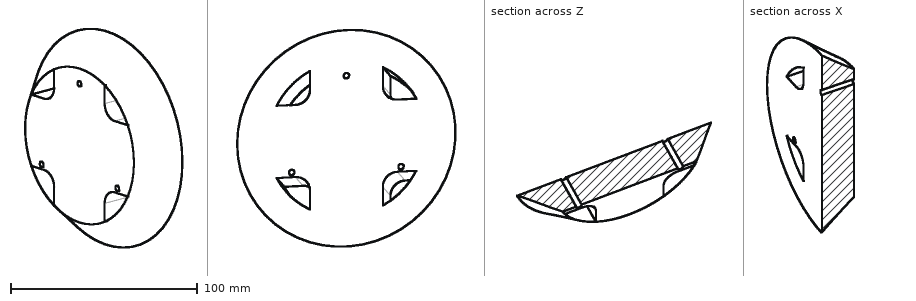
import cadquery as cq
import math

RIM_RADIUS = 60.0
THICKNESS = 20.0
FLANK_ANGLE = 40.0
CROSS_WIDTH = 40.0
WINDOW_FILLET = 8.0
HOLE_DIAMETER = 3.0
HOLE_SPACING = 60.0
HOLE_COUNT = 3
FIRST_HOLE_ANGLE = 90.0

FACE_RADIUS = RIM_RADIUS - THICKNESS * math.tan(math.radians(FLANK_ANGLE))
HOLE_CIRCLE_RADIUS = HOLE_SPACING / math.sqrt(3)


def make_body():
    """Solid truncated cone with its axis on Y, narrowing toward -Y."""
    profile = [(0, 0), (RIM_RADIUS, 0), (FACE_RADIUS, -THICKNESS), (0, -THICKNESS)]
    return cq.Workplane("XY").polyline(profile).close().revolve(360, (0, 0), (0, 1))


def make_window_cutter(x_side, z_side):
    """Straight window in one quadrant, bounded by two arm sides and the small circle."""
    size = FACE_RADIUS
    block_centre = CROSS_WIDTH / 2 + size / 2
    block = (
        cq.Workplane("XZ")
        .center(x_side * block_centre, z_side * block_centre)
        .rect(size, size)
        .extrude(THICKNESS)
        .edges("|Y")
        .fillet(WINDOW_FILLET)
    )
    bounding_cylinder = cq.Workplane("XZ").circle(FACE_RADIUS).extrude(THICKNESS)
    return block.intersect(bounding_cylinder)


def make_hole_cutter():
    """Three equally spaced through holes parallel to Y."""
    return (
        cq.Workplane("XZ")
        .polarArray(HOLE_CIRCLE_RADIUS, FIRST_HOLE_ANGLE, 360, HOLE_COUNT)
        .circle(HOLE_DIAMETER / 2)
        .extrude(THICKNESS)
    )


result = make_body()
for x_side in (-1, 1):
    for z_side in (-1, 1):
        result = result.cut(make_window_cutter(x_side, z_side))
result = result.cut(make_hole_cutter())